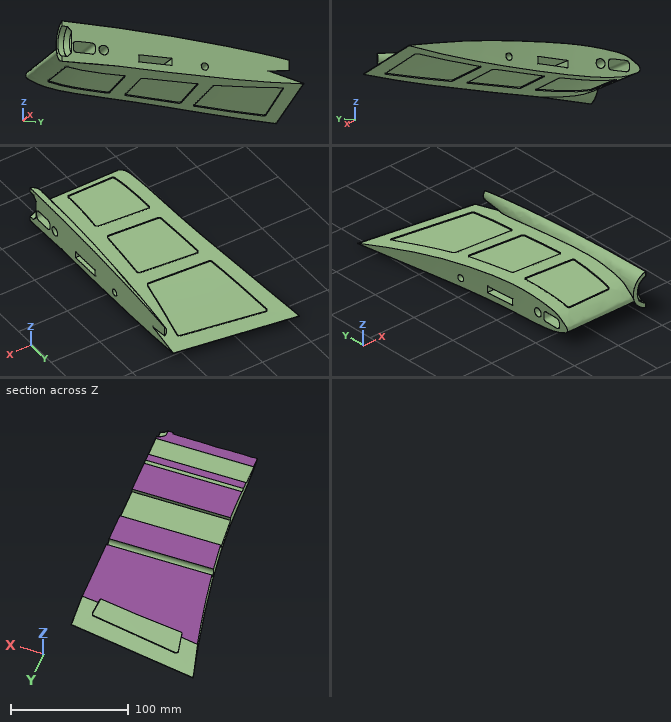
import cadquery as cq
import math

span = 117.56
tip_chord = 238.01
root_chord = 219.9
nose_height = 12.8
tail_height = 3.1
tail_thickness = 0.5
front_span = 89.3
tip_curve = [(-front_span, 30.0), (-front_span - 0.2, 60.0), (-100.2, 156.8), (-span, tip_chord)]
margin = 12.0

upper_points = [
    (3.0, 17.2), (11.0, 22.3), (27.0, 26.2), (52.0, 28.0),
    (110.0, 25.2), (160.0, 19.3), (208.0, 10.2),
]
lower_points = [(3.0, 9.3), (11.0, 6.2), (27.0, 2.9), (57.0, 0.9), (110.0, 0.2), (175.0, 0.3)]

body_height = 36.11
axis_x = 4.3
axis_z = body_height / 2
body_radius = math.hypot(axis_x, body_height / 2)
body_length = 206.8
body_end_radius = 6.4
body_middle = (13.5, 130.0)
wall = 4.5

socket_depth = 9.0
socket_floor_radius = 10.2

panel_depth = 1.0
panel_corner_radius = 2.0
panels = [
    [(-97.3, 220.6), (-13.7, 206.8), (-22.0, 146.2), (-84.8, 150.6)],
    [(-81.8, 137.8), (-22.5, 132.3), (-24.2, 81.2), (-76.5, 85.0)],
    [(-76.3, 70.7), (-23.4, 66.7), (-28.2, 14.7), (-75.5, 14.7)],
]

rod_hole = (130.0, 8.9)
rod_diameter = 6.35
tube_hole = (38.15, 13.9)
tube_diameter = 8.45
spar_slot = (85.0, 9.9)
spar_size = (30.0, 6.35)
cable_slot = (20.45, 14.2)
cable_size = (20.1, 9.9)
cable_corner_radius = 3.2


def skin_curve(points, nose_direction):
    """Smooth curve through the points, leaving the nose in the given direction."""
    tangents = [nose_direction] + [None] * (len(points) - 1)
    return cq.Edge.makeSpline(points, tangents)


def aerofoil(x):
    """Closed aerofoil wire at station x; only its length changes along the span."""
    chord = root_chord - x * (tip_chord - root_chord) / span
    stretch = chord / tip_chord

    def place(point):
        return cq.Vector(x, point[0] * stretch, point[1])

    nose = place((0, nose_height))
    upper_tail = place((tip_chord, tail_height + tail_thickness / 2))
    lower_tail = place((tip_chord, tail_height - tail_thickness / 2))
    upper = skin_curve([nose] + [place(p) for p in upper_points] + [upper_tail], cq.Vector(0, 0, 1))
    lower = skin_curve([nose] + [place(p) for p in lower_points] + [lower_tail], cq.Vector(0, 0, -1))
    return cq.Wire.assembleEdges([upper, cq.Edge.makeLine(upper_tail, lower_tail), lower])


def make_wing():
    blank = cq.Solid.makeLoft([aerofoil(-span - margin), aerofoil(0)], True)
    plan = (
        cq.Workplane("XY").workplane(offset=-body_height)
        .moveTo(margin, -margin).lineTo(-front_span, -margin)
        .spline(tip_curve, includeCurrent=True)
        .lineTo(-span - margin / 4, tip_chord + margin).lineTo(margin, tip_chord + margin).close()
        .extrude(3 * body_height)
    )
    return cq.Workplane(blank).intersect(plan)


def body_profile(start_radius):
    """Open half profile in the XY plane, started on the fuselage axis at Y = 0."""
    return cq.Workplane("XY", origin=(axis_x, 0, axis_z)).lineTo(-start_radius, 0)


def make_body():
    body = (
        body_profile(body_radius)
        .threePointArc((-body_middle[0], body_middle[1]), (-body_end_radius, body_length))
        .lineTo(0, body_length).close()
        .revolve(360, (0, 0), (0, 1))
    )
    root_side = cq.Workplane("XY").box(span, tip_chord, 3 * body_height, centered=(False, False, True))
    return body.cut(root_side)


def make_socket():
    socket_radius = body_radius - wall
    chamfer = socket_radius - socket_floor_radius
    return (
        body_profile(socket_radius)
        .lineTo(-socket_radius, socket_depth - chamfer)
        .lineTo(-socket_floor_radius, socket_depth)
        .lineTo(0, socket_depth).close()
        .revolve(360, (0, 0), (0, 1))
    )


def panel_prism(corners):
    return (
        cq.Workplane("XY").workplane(offset=-body_height)
        .polyline(corners).close().extrude(3 * body_height)
        .edges("|Z").fillet(panel_corner_radius)
    )


def cut_panels(part, wing):
    """Sink each panel below both skins, with its floor parallel to the skin."""
    for corners in panels:
        column = wing.intersect(panel_prism(corners))
        for shift in (-panel_depth, panel_depth):
            part = part.cut(column.cut(wing.translate((0, 0, shift))))
    return part


def spanwise(center):
    return cq.Workplane("YZ", origin=(-span, 0, 0)).center(*center)


def cut_openings(part):
    part = part.cut(spanwise(rod_hole).circle(rod_diameter / 2).extrude(span))
    part = part.cut(spanwise(tube_hole).circle(tube_diameter / 2).extrude(span))
    part = part.cut(spanwise(spar_slot).rect(*spar_size).extrude(span))
    cable = spanwise(cable_slot).rect(*cable_size).extrude(span)
    return part.cut(cable.edges("|X").fillet(cable_corner_radius))


wing = make_wing()
part = wing.union(make_body()).cut(make_socket())
part = cut_panels(part, wing)
part = cut_openings(part)
result = part